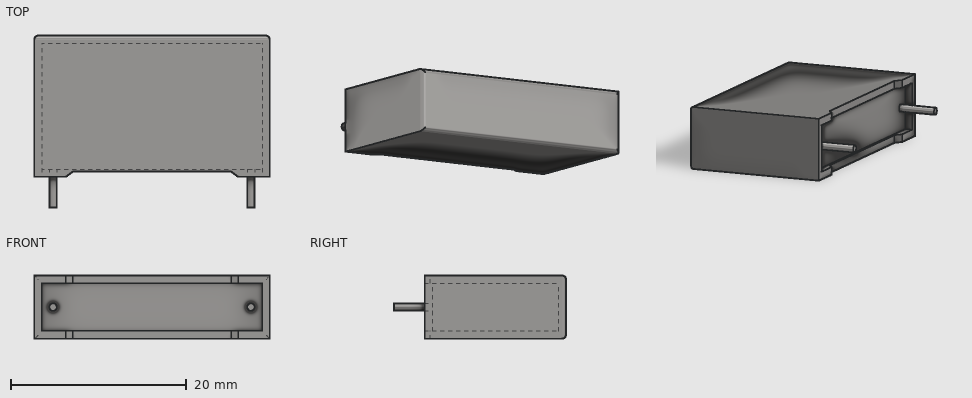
import cadquery as cq

case_width = 26.8
case_length = 16.1
case_height = 7.21
back_edge_radius = 0.5

side_wall = 0.85
face_wall = 0.9
back_wall = face_wall
cavity_width = case_width - 2 * side_wall
cavity_height = case_height - 2 * face_wall

relief_depth = 0.6
foot_width = 3.6
flank_width = 0.8
relief_mouth_half = case_width / 2 - foot_width
relief_floor_half = relief_mouth_half - flank_width

potting_recess = 0.85
potting_length = case_length - back_wall - potting_recess

lead_diameter = 0.85
lead_pitch = 22.5
lead_projection = 3.5
lead_length = lead_projection + potting_recess


def block(width, length, height, front):
    """Box centred in X and Z that starts at Y = front and runs toward +Y."""
    return (
        cq.Workplane("XY", origin=(0, front, 0))
        .box(width, length, height, centered=(True, False, True))
    )


def make_case():
    shell = block(case_width, case_length, case_height, 0)
    shell = shell.faces(">Y").edges().fillet(back_edge_radius)
    cavity = block(cavity_width, case_length - back_wall, cavity_height, 0)
    relief = (
        cq.Workplane("XY")
        .polyline([
            (-relief_mouth_half, 0),
            (-relief_floor_half, relief_depth),
            (relief_floor_half, relief_depth),
            (relief_mouth_half, 0),
        ])
        .close()
        .extrude(case_height / 2, both=True)
    )
    return shell.cut(cavity).cut(relief)


def make_potting():
    return block(cavity_width, potting_length, cavity_height, potting_recess)


def make_lead(x):
    return (
        cq.Workplane("XZ", origin=(x, potting_recess, 0))
        .circle(lead_diameter / 2)
        .extrude(lead_length)
    )


case = make_case()
potting = make_potting()
leads = [make_lead(side * lead_pitch / 2) for side in (-1, 1)]

result = cq.Compound.makeCompound([case.val(), potting.val(), *[lead.val() for lead in leads]])